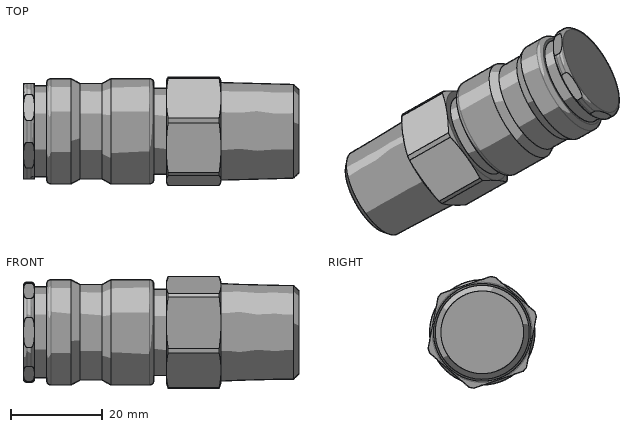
import cadquery as cq
import math


flange_length = 2.5
flange_diameter = 22.0
flange_across_flats = 21.0
flange_edge_radius = 0.8
flange_flat_angle = 0.0

stem_diameter = 20.0
neck_diameter = 18.95

sleeve_start = 5.1
sleeve_length = 23.55
sleeve_end = sleeve_start + sleeve_length
sleeve_diameter = 23.15
sleeve_edge_radius = 1.0
groove_diameter = 21.0
groove_front_start = 10.45
groove_floor_start = 12.45
groove_floor_end = 17.3
groove_rear_end = 19.2

hexagon_start = 31.35
hexagon_length = 12.0
hexagon_end = hexagon_start + hexagon_length
hexagon_across_flats = 22.0
hexagon_corner_diameter = 24.8
hexagon_chamfer_length = 0.4
hexagon_flat_angle = 11.0

overall_length = 60.5
thread_large_diameter = 21.45
thread_small_diameter = 20.6
thread_tip_diameter = 18.15
thread_chamfer_length = 1.25
thread_taper_end = overall_length - thread_chamfer_length


def cylinder(start, end, diameter):
    """Solid cylinder on the X axis."""
    return cq.Workplane("YZ", origin=(start, 0, 0)).circle(diameter / 2).extrude(end - start)


def hexagonal_prism(start, end, across_flats, flat_angle):
    """Prism on the X axis with two flats square to Y; flat_angle turns it about X from +Z to +Y."""
    corner_to_corner = across_flats / math.cos(math.pi / 6)
    half_sector = 30.0
    prism = cq.Workplane("YZ", origin=(start, 0, 0)).polygon(6, corner_to_corner).extrude(end - start)
    return prism.rotate((0, 0, 0), (1, 0, 0), half_sector - flat_angle)


def revolved(points):
    """Solid of revolution about X from (x, radius) points."""
    return cq.Workplane("XY").polyline(points).close().revolve(360, (0, 0, 0), (1, 0, 0))


def make_flange():
    disc = cylinder(0, flange_length, flange_diameter).edges().fillet(flange_edge_radius)
    return disc.intersect(hexagonal_prism(0, flange_length, flange_across_flats, flange_flat_angle))


def make_hexagon():
    flat_radius = hexagon_across_flats / 2
    corner_radius = hexagon_corner_diameter / 2
    turned_blank = revolved([
        (hexagon_start, 0),
        (hexagon_start, flat_radius),
        (hexagon_start + hexagon_chamfer_length, corner_radius),
        (hexagon_end - hexagon_chamfer_length, corner_radius),
        (hexagon_end, flat_radius),
        (hexagon_end, 0),
    ])
    prism = hexagonal_prism(hexagon_start, hexagon_end, hexagon_across_flats, hexagon_flat_angle)
    return turned_blank.intersect(prism)


def make_thread_end():
    return revolved([
        (hexagon_end, 0),
        (hexagon_end, thread_large_diameter / 2),
        (thread_taper_end, thread_small_diameter / 2),
        (overall_length, thread_tip_diameter / 2),
        (overall_length, 0),
    ])


def make_body():
    stem = cylinder(flange_length, sleeve_end, stem_diameter)
    neck = cylinder(sleeve_end, hexagon_start, neck_diameter)
    return make_flange().union(stem).union(neck).union(make_hexagon()).union(make_thread_end())


def make_sleeve():
    blank = cylinder(sleeve_start, sleeve_end, sleeve_diameter).edges().fillet(sleeve_edge_radius)
    sleeve_radius = sleeve_diameter / 2
    groove_radius = groove_diameter / 2
    bore = cylinder(sleeve_start, sleeve_end, stem_diameter)
    groove = revolved([
        (groove_front_start, sleeve_radius),
        (groove_floor_start, groove_radius),
        (groove_floor_end, groove_radius),
        (groove_rear_end, sleeve_radius),
    ])
    return blank.cut(groove).cut(bore)


body = make_body()
sleeve = make_sleeve()

result = cq.Compound.makeCompound([body.val(), sleeve.val()])